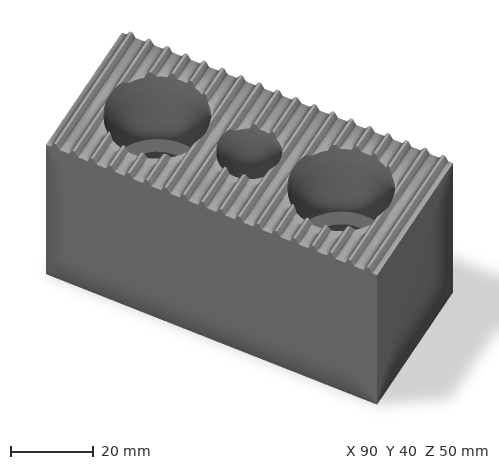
import cadquery as cq

length = 90.0
width = 40.0
height = 50.0

tooth_count = 18
tooth_pitch = length / tooth_count
tooth_height = 1.6
tooth_root_width = 2.4
tooth_crest_width = 0.6
tooth_root_z = height - tooth_height

bolt_offset = 5 * tooth_pitch
bolt_hole_diameter = 18.0
counterbore_diameter = 26.0

centre_hole_diameter = 16.0

floor_z = height / 2


def toothed_outline():
    """Block outline in the XZ plane, traced along the toothed top from left to right."""
    points = [(-length / 2, 0), (-length / 2, tooth_root_z)]
    for index in range(tooth_count):
        middle = -length / 2 + (index + 0.5) * tooth_pitch
        points += [
            (middle - tooth_root_width / 2, tooth_root_z),
            (middle - tooth_crest_width / 2, height),
            (middle + tooth_crest_width / 2, height),
            (middle + tooth_root_width / 2, tooth_root_z),
        ]
    points += [(length / 2, tooth_root_z), (length / 2, 0)]
    return points


def hole_cutter(x, diameter, bottom_z):
    """Vertical cylinder from bottom_z up to the tooth crests."""
    return (
        cq.Workplane("XY", origin=(x, 0, bottom_z))
        .circle(diameter / 2)
        .extrude(height - bottom_z)
    )


block = cq.Workplane("XZ").polyline(toothed_outline()).close().extrude(width / 2, both=True)

for bolt_x in (-bolt_offset, bolt_offset):
    block = block.cut(hole_cutter(bolt_x, bolt_hole_diameter, 0))
    block = block.cut(hole_cutter(bolt_x, counterbore_diameter, floor_z))

result = block.cut(hole_cutter(0, centre_hole_diameter, floor_z))